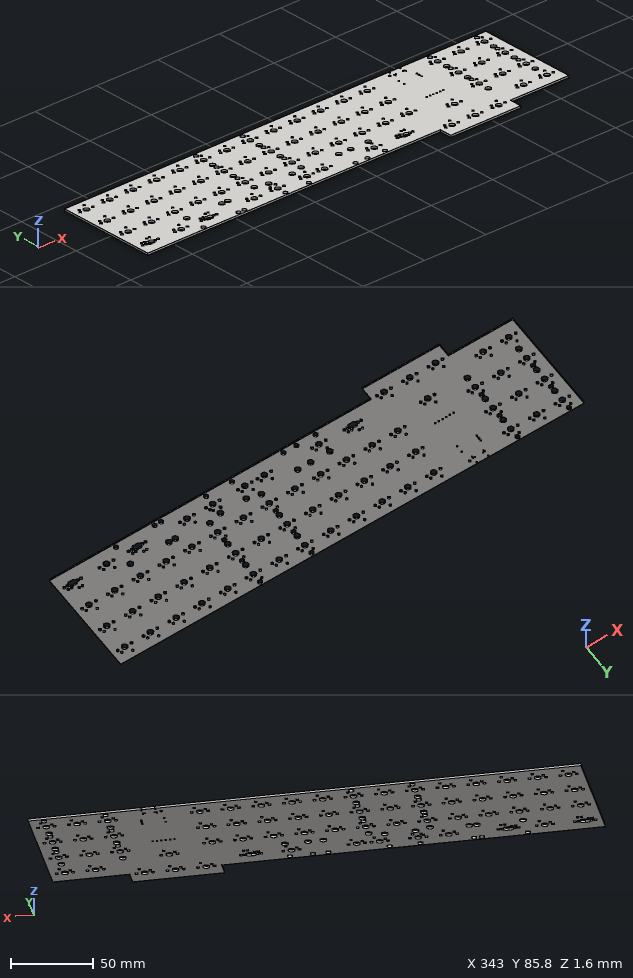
import cadquery as cq

board_length = 343.0
board_thickness = 1.6
column_count = 18
main_row_count = 4
pitch = board_length / column_count
grid = pitch / 15

tab_left = 12.5
tab_right = 15.5
tab_depth = 0.5
board_depth = (main_row_count + tab_depth) * pitch
rear_edge = board_depth / 2

switch_hole = 0.21 * pitch
side_hole = 1.75
pin_hole = 1.47
side_pegs = [(-4 * grid, 0), (4 * grid, 0)]
left_pin = (-3 * grid, 2 * grid)
right_pin = (2 * grid, 4 * grid)

second_left_pin = (-2 * grid, 3.2 * grid)
second_right_pin = (2 * grid, 3.5 * grid)

stabiliser_small_hole = 3.05
stabiliser_large_hole = switch_hole
stabiliser_small_offset = 5.5 * grid
stabiliser_large_offset = 6.5 * grid

upper_rows = [0.5, 1.5, 2.5]
upper_columns = [column + 0.5 for column in range(13)] + [15.5, 16.5, 17.5]
bottom_row = 3.5
two_pattern_column = 6.0
bottom_columns = [0.5, 0.625, 1.875, 3.0, 3.125, 5.0, two_pattern_column, 7.25, 8.0]
bottom_columns += [10.125, 11.375, 11.5, 16.5, 17.5]
arrow_column = 14.0
arrow_keys = [(arrow_column, 3.0)] + [(arrow_column + step, 4.0) for step in (-1, 0, 1)]

upper_feet_columns = [5.5, 7.5, 15.5, 17.5]
bottom_feet_columns = [2.5, 4.0, 4.25, 6.0, 7.0, 9.0, 9.5, 10.25]

header_hole = 0.9
header_count = 6
header_pitch = 2.7
header_depth = 2 * pitch + 1.2

connector_offset = 1.65
peg_hole = 0.65
peg_spacing = 6.0
peg_depth = 4.8
shell_spacing = 8.5
shell_slot_width = 0.62
front_slot_length = 1.7
front_slot_depth = peg_depth + 0.5
rear_slot_length = 1.2
rear_slot_depth = front_slot_depth - 4.5
lone_hole = 1.47
lone_hole_offset = 7.2
lone_hole_depth = 4.0

lead_hole = 0.9
lead_column_spacing = 14.5
lead_column_offset = 0.2
lead_depth = 15.0
left_lead_spread = 4.8
right_lead_spreads = [4.5, 1.0]


def place(column, row):
    """Point lying the given key pitches from the left edge and the rear edge."""
    return (column * pitch - board_length / 2, board_depth / 2 - row * pitch)


def shift(points, offset):
    """The points, all moved by one offset."""
    return [(x + offset[0], y + offset[1]) for x, y in points]


def pair(x, y, spread):
    """Two points above and below (x, y), the given spread apart along Y."""
    return [(x, y - spread / 2), (x, y + spread / 2)]


def drill(board, points, diameter):
    """Drill equal through holes, which may overlap their neighbours."""
    top = board.faces(">Z").workplane(centerOption="ProjectedOrigin", origin=(0, 0, 0))
    return top.pushPoints(points).hole(diameter)


def mill_slot(board, centre, length, width):
    """Mill a round-ended through slot that runs along Y."""
    slot = cq.Workplane("XY").center(*centre).slot2D(length, width, 90)
    return board.cut(slot.extrude(board_thickness, both=True))


def make_blank():
    """Plain board with its front tab."""
    main_depth = main_row_count * pitch
    main = cq.Workplane("XY").box(board_length, main_depth, board_thickness)
    main = main.translate((0, (board_depth - main_depth) / 2, 0))
    tab_centre = (tab_left + tab_right) / 2 * pitch - board_length / 2
    tab = cq.Workplane("XY").box((tab_right - tab_left) * pitch, board_depth, board_thickness)
    return main.union(tab.translate((tab_centre, 0, 0)))


def drill_switches(board, centres):
    board = drill(board, centres, switch_hole)
    for peg in side_pegs:
        board = drill(board, shift(centres, peg), side_hole)
    for pin in (left_pin, right_pin):
        board = drill(board, shift(centres, pin), pin_hole)
    return board


def drill_second_pins(board, centre):
    pins = [shift([centre], pin)[0] for pin in (second_left_pin, second_right_pin)]
    return drill(board, pins, pin_hole)


def drill_stabilisers(board, feet, direction):
    """Small holes towards +Y and large ones towards -Y, or swapped for direction -1."""
    small = shift(feet, (0, direction * stabiliser_small_offset))
    large = shift(feet, (0, -direction * stabiliser_large_offset))
    board = drill(board, small, stabiliser_small_hole)
    return drill(board, large, stabiliser_large_hole)


def drill_header(board, centre_x):
    first = centre_x - (header_count - 1) / 2 * header_pitch
    y = rear_edge - header_depth
    return drill(board, [(first + i * header_pitch, y) for i in range(header_count)], header_hole)


def cut_connector(board, centre_x):
    for side in (-1, 1):
        board = drill(board, [(centre_x + side * peg_spacing / 2, rear_edge - peg_depth)], peg_hole)
        slot_x = centre_x + side * shell_spacing / 2
        for depth, length in ((front_slot_depth, front_slot_length), (rear_slot_depth, rear_slot_length)):
            board = mill_slot(board, (slot_x, rear_edge - depth), length, shell_slot_width)
    return drill(board, [(centre_x - lone_hole_offset, rear_edge - lone_hole_depth)], lone_hole)


def drill_leads(board, centre_x):
    y = rear_edge - lead_depth
    leads = pair(centre_x - lead_column_spacing / 2, y, left_lead_spread)
    for spread in right_lead_spreads:
        leads += pair(centre_x + lead_column_spacing / 2, y, spread)
    return drill(board, leads, lead_hole)


arrow_x = place(arrow_column, 0)[0]
connector_x = arrow_x + connector_offset

switches = [place(column, row) for row in upper_rows for column in upper_columns]
switches += [place(column, bottom_row) for column in bottom_columns]
switches += [place(column, row) for column, row in arrow_keys]
upper_feet = [place(column, row) for row in upper_rows for column in upper_feet_columns]
bottom_feet = [place(column, bottom_row) for column in bottom_feet_columns]

result = make_blank()
result = drill_switches(result, switches)
result = drill_second_pins(result, place(two_pattern_column, bottom_row))
result = drill_stabilisers(result, upper_feet, 1)
result = drill_stabilisers(result, bottom_feet, -1)
result = drill_header(result, arrow_x)
result = cut_connector(result, connector_x)
result = drill_leads(result, connector_x - lead_column_offset)